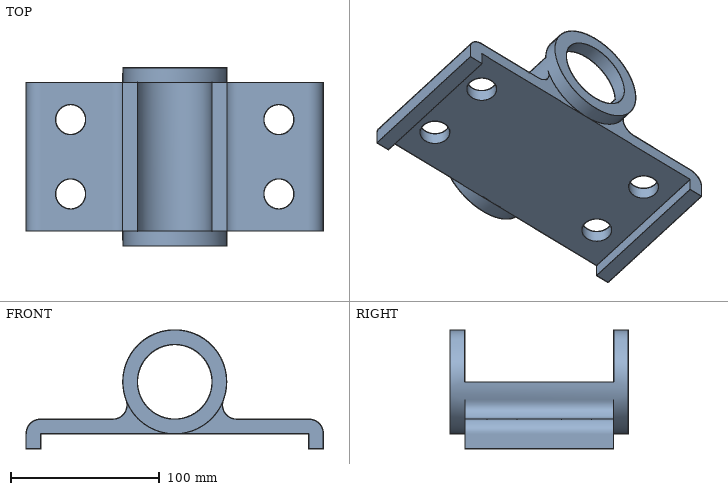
import cadquery as cq
import math

length = 200.0
width = 100.0
wall = 10.0
plate_top = 2 * wall
edge_radius = 10.0

bore_radius = 25.0
shell_radius = bore_radius + wall
axis_height = wall + shell_radius
ring_width = 10.0
overall_width = width + 2 * ring_width

fillet_radius = 9.5

hole_diameter = 20.0
hole_spacing_x = 140.0
hole_spacing_y = 50.0


def along_y(depth):
    """XZ workplane placed so that extruding by depth is centred on Y = 0."""
    return cq.Workplane("XZ", origin=(0, depth / 2, 0))


def cylinder(radius, depth):
    return along_y(depth).center(0, axis_height).circle(radius).extrude(depth)


def make_base():
    base = (
        along_y(width)
        .rect(length, 2 * plate_top)
        .extrude(width)
        .edges("|Y and >Z")
        .fillet(edge_radius)
    )
    below = cq.Workplane().box(length, width, plate_top, centered=(True, True, False))
    below = below.translate((0, 0, -plate_top))
    recess = along_y(width).rect(length - 2 * wall, 2 * wall).extrude(width)
    return base.cut(below).cut(recess)


def make_fillet_webs():
    """Material joining the plate to the shell, bounded by tangent arcs."""
    center_height = plate_top + fillet_radius
    center_distance = shell_radius + fillet_radius
    center_rise = axis_height - center_height
    center_x = math.sqrt(center_distance**2 - center_rise**2)
    contact = shell_radius / center_distance
    contact_x = center_x * contact
    contact_z = axis_height - center_rise * contact
    start_angle = math.atan2(center_rise, -center_x)
    mid_angle = (start_angle + 1.5 * math.pi) / 2
    mid_x = center_x + fillet_radius * math.cos(mid_angle)
    mid_z = center_height + fillet_radius * math.sin(mid_angle)
    return (
        along_y(width)
        .moveTo(-center_x, plate_top)
        .threePointArc((-mid_x, mid_z), (-contact_x, contact_z))
        .lineTo(contact_x, contact_z)
        .threePointArc((mid_x, mid_z), (center_x, plate_top))
        .close()
        .extrude(width)
    )


def make_half_shell():
    upper_half = (
        cq.Workplane()
        .box(2 * shell_radius, width, shell_radius, centered=(True, True, False))
        .translate((0, 0, axis_height))
    )
    return cylinder(shell_radius, width).cut(upper_half)


def make_end_rings():
    return cylinder(shell_radius, overall_width).cut(cylinder(shell_radius, width))


mounting_holes = (
    cq.Workplane()
    .rarray(hole_spacing_x, hole_spacing_y, 2, 2)
    .circle(hole_diameter / 2)
    .extrude(plate_top)
)

result = (
    make_base()
    .union(make_fillet_webs())
    .union(make_half_shell())
    .union(make_end_rings())
    .cut(cylinder(bore_radius, overall_width))
    .cut(mounting_holes)
)